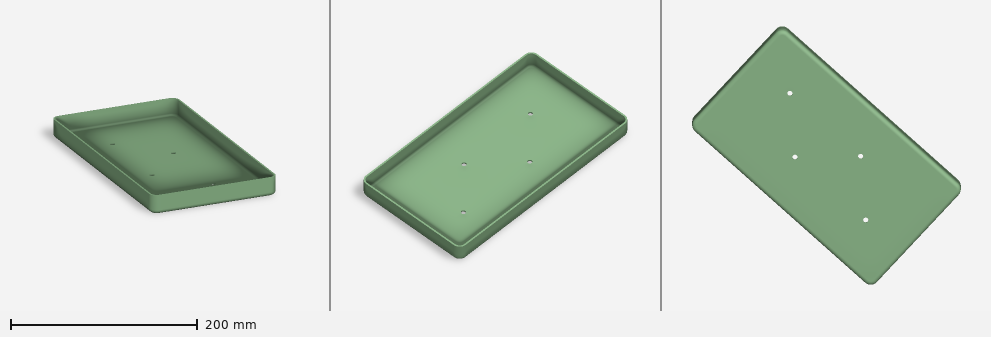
import cadquery as cq

length = 265.0
width = 148.0
height = 21.5

wall = 2.0
corner_radius = 9.0
bottom_radius = 4.5

hole_diameter = 5.5
hole_pitch = 102.8
front_row_y = -26.2
row_spacing = 48.2
row_shift = hole_pitch / 2
front_row_start_x = -1.5 * row_shift


def rounded_block(inset):
    """Block with rounded corners and bottom edge, inset from the sides and bottom."""
    return (
        cq.Workplane("XY", origin=(0, 0, inset))
        .rect(length - 2 * inset, width - 2 * inset)
        .extrude(height - inset)
        .edges("|Z")
        .fillet(corner_radius - inset)
        .faces("<Z")
        .edges()
        .fillet(bottom_radius - inset)
    )


tray = rounded_block(0).cut(rounded_block(wall))

hole_centers = []
for row in range(2):
    for column in range(2):
        x = front_row_start_x + row * row_shift + column * hole_pitch
        y = front_row_y + row * row_spacing
        hole_centers.append((x, y))

holes = (
    cq.Workplane("XY")
    .pushPoints(hole_centers)
    .circle(hole_diameter / 2)
    .extrude(height)
)

result = tray.cut(holes)